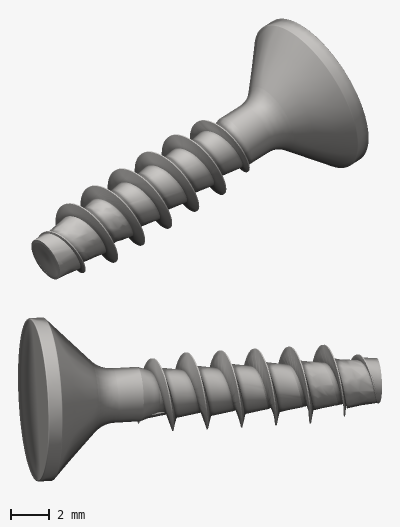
import cadquery as cq
import math


length = 18.0
head_radius = 4.2
rim_height = 0.73
rim_edge_radius = 0.06
shank_radius = 1.4
neck_fillet_radius = 1.6
shank_end_depth = 5.51

pitch = 1.795
first_turn_depth = 5.48
start_turn = -0.12
end_overrun_turns = 0.06
crest_radius = 2.0
lead_in_radius = 1.62
run_out_depth = 15.4
run_out_slope = 0.36
crest_width = 0.06
flank_slope = math.tan(math.radians(17))
least_ridge_height = 0.01

core_radius = 1.10
step_radius = 1.33
taper_end_radius = 1.135
taper_end_gap = 0.03
buried_radius = 1.0
lead_in_cone_length = 0.9
points_per_turn = 16

tip_radius = 1.14
tip_taper_slope = 0.12
tip_recess_radius = 1.02
tip_recess_depth = 0.1


def revolve_profile(profile):
    return profile.close().revolve(360, (0, 0, 0), (0, 1, 0))


def plain_body():
    """Countersunk 45 degree head, neck fillet, shank, lead-in cone and plain core."""
    cone_angle = math.radians(45)
    cone_end_radius = shank_radius + neck_fillet_radius * (1 - math.cos(cone_angle))
    cone_end_depth = rim_height + head_radius - cone_end_radius
    neck_end_depth = cone_end_depth + neck_fillet_radius * math.sin(cone_angle)
    mid_angle = cone_angle / 2
    arc_middle = (
        shank_radius + neck_fillet_radius * (1 - math.cos(mid_angle)),
        -neck_end_depth + neck_fillet_radius * math.sin(mid_angle),
    )
    body = revolve_profile(
        cq.Workplane("XY")
        .moveTo(0, 0)
        .lineTo(head_radius, 0)
        .lineTo(head_radius, -rim_height)
        .lineTo(cone_end_radius, -cone_end_depth)
        .threePointArc(arc_middle, (shank_radius, -neck_end_depth))
        .lineTo(shank_radius, -shank_end_depth)
        .lineTo(core_radius, -shank_end_depth - lead_in_cone_length)
        .lineTo(core_radius, -length)
        .lineTo(0, -length)
    )
    rim_zone = cq.selectors.BoxSelector(
        (-head_radius, -rim_height - rim_edge_radius, -head_radius),
        (head_radius, rim_edge_radius, head_radius),
    )
    return body.edges("%CIRCLE").edges(rim_zone).fillet(rim_edge_radius)


def ridge_depth(turn):
    return first_turn_depth + pitch * turn


def ridge_foot_radius(turn):
    """Core radius just tipward of the ridge, limited by the cone at the tip."""
    tip_cone = tip_radius + tip_taper_slope * (length - ridge_depth(turn))
    return min(step_radius, tip_cone)


def ridge_crest_radius(turn):
    lead_in = lead_in_radius + (crest_radius - lead_in_radius) * turn
    run_out = crest_radius - run_out_slope * (ridge_depth(turn) - run_out_depth)
    lowest = ridge_foot_radius(turn) + least_ridge_height
    return max(lowest, min(lead_in, crest_radius, run_out))


def ridge_half_width(turn, radius):
    return crest_width / 2 + (ridge_crest_radius(turn) - radius) * flank_slope


def thread_section(turn):
    """(offset, radius) corners of the ridge and the tapered core tipward of it."""
    crest = ridge_crest_radius(turn)
    foot = ridge_foot_radius(turn)

    def taper_end(radius):
        return ridge_half_width(turn + 1, radius) + taper_end_gap - pitch

    return [
        (ridge_half_width(turn, buried_radius), buried_radius),
        (crest_width / 2, crest),
        (-crest_width / 2, crest),
        (-ridge_half_width(turn, foot), foot),
        (taper_end(taper_end_radius), taper_end_radius),
        (taper_end(buried_radius), buried_radius),
    ]


def section_points(turn):
    """Corners of the thread section, placed in space at the given turn."""
    angle = 2 * math.pi * turn
    return [
        cq.Vector(radius * math.sin(angle), offset - ridge_depth(turn), -radius * math.cos(angle))
        for offset, radius in thread_section(turn)
    ]


def thread():
    """Right-hand helical solid with ruled flanks, trimmed at the shank end and the tip face."""
    end_turn = (length - first_turn_depth) / pitch + end_overrun_turns
    steps = math.ceil((end_turn - start_turn) * points_per_turn)
    turns = [start_turn + (end_turn - start_turn) * i / steps for i in range(steps + 1)]
    sections = [section_points(turn) for turn in turns]
    edges = [cq.Edge.makeSpline(list(corner_path)) for corner_path in zip(*sections)]
    faces = [cq.Face.makeRuledSurface(edges[i - 1], edges[i]) for i in range(len(edges))]
    for end_section in (sections[0], sections[-1]):
        faces.append(cq.Face.makeFromWires(cq.Wire.makePolygon(end_section, close=True)))
    solid = cq.Solid.makeSolid(cq.Shell.makeShell(faces)).fix()
    threaded_zone = (
        cq.Workplane("XZ", origin=(0, -shank_end_depth, 0))
        .circle(2 * crest_radius)
        .extrude(length - shank_end_depth)
    )
    return cq.Workplane("XY").newObject([solid]).intersect(threaded_zone)


def tip_recess():
    """Shallow conical hollow in the tip face."""
    return revolve_profile(
        cq.Workplane("XY")
        .moveTo(0, -length)
        .lineTo(tip_recess_radius, -length)
        .lineTo(0, tip_recess_depth - length)
    )


result = plain_body().cut(tip_recess()).union(thread())